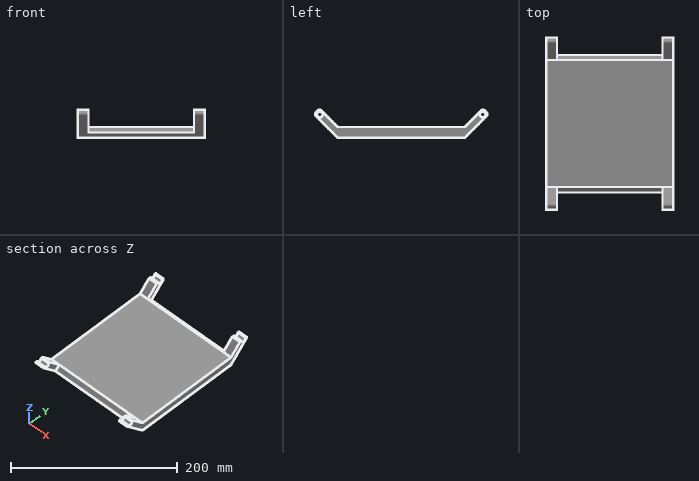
import cadquery as cq
import math

plate_size = 152.5
plate_thickness = 13.0
overall_length = 207.0
arm_width = 13.0
arm_corner_radius = 2.5
hole_diameter = 6.6
hole_inset = 5.0

half_plate = plate_size / 2
lip_reach = plate_thickness / 2

corner_setback = arm_corner_radius * (math.sqrt(2) - 1)
sharp_reach = overall_length / 2 - half_plate + corner_setback
arm_rise = sharp_reach - lip_reach

hole_y = half_plate + sharp_reach - lip_reach / 2 - hole_inset / math.sqrt(2)
hole_z = sharp_reach + lip_reach / 2 - hole_inset / math.sqrt(2)


def make_plate():
    """Square plate whose two end edges point outward at mid thickness."""
    profile = [
        (-half_plate, 0),
        (half_plate, 0),
        (half_plate + lip_reach, lip_reach),
        (half_plate, plate_thickness),
        (-half_plate, plate_thickness),
        (-half_plate - lip_reach, lip_reach),
    ]
    return cq.Workplane("YZ").polyline(profile).close().extrude(half_plate, both=True)


def make_arm():
    """Inclined arm at the -X, +Y corner, with a rounded and drilled end."""
    profile = [
        (half_plate, 0),
        (half_plate + sharp_reach, sharp_reach),
        (half_plate + arm_rise, arm_rise + plate_thickness),
        (half_plate, plate_thickness),
    ]
    side_plane = cq.Workplane("YZ", origin=(-half_plate, 0, 0))
    arm = side_plane.polyline(profile).close().extrude(arm_width)
    arm = arm.edges("|X").edges(">Y or >Z").fillet(arm_corner_radius)
    hole = side_plane.center(hole_y, hole_z).circle(hole_diameter / 2).extrude(arm_width)
    return arm.cut(hole)


corner_arm = make_arm()
arm_pair = corner_arm.union(corner_arm.mirror("YZ"))

result = make_plate().union(arm_pair).union(arm_pair.mirror("XZ"))